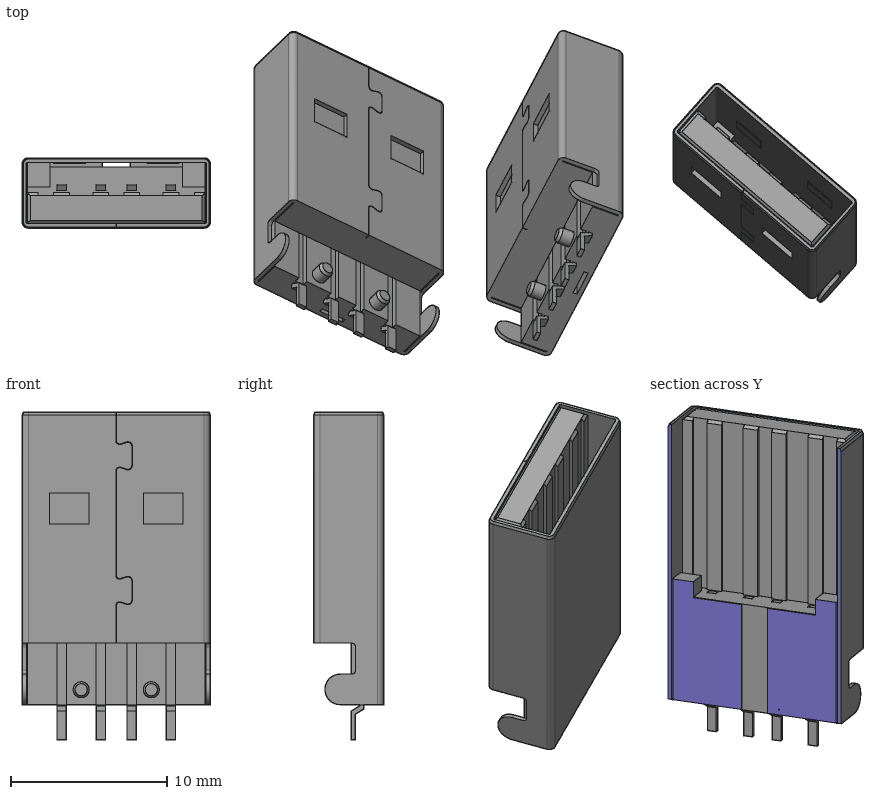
import cadquery as cq
import math

WIDTH = 12.05
DEPTH = 4.5
HEIGHT = 20.95
WALL = 0.31
SIDE_WALL = 0.27
CORNER_RADIUS = 0.4
RIM_CHAMFER_IN = 0.08
RIM_CHAMFER_DOWN = 0.19
SHELL_BASE_Z = 6.18
BODY_BASE_Z = 2.25

FRONT = -DEPTH / 2
BACK = DEPTH / 2
INNER_FRONT = FRONT + WALL
INNER_BACK = BACK - WALL
INNER_RADIUS = CORNER_RADIUS - WALL

LUG_HEIGHT = 1.97
LUG_RADIUS = LUG_HEIGHT / 2
LUG_TIP_Y = -1.53
NOTCH_BACK_Y = 0.45
NOTCH_RADIUS = 0.25

SEAM_GAP = 0.06
SEAM_X = -SEAM_GAP / 2
TAB_CENTRES_Z = (9.55, 18.16)
TAB_LENGTH = 1.03
TAB_HALF_NECK = 0.63
TAB_HALF_TIP = 0.96
TAB_RADIUS = 0.25

WINDOW_X = 3.0
WINDOW_Z = 14.8
WINDOW_WIDTH = 2.53
WINDOW_HEIGHT = 2.0
BUMP_WIDTH = 2.03
BUMP_RISE = 0.06

CLEARANCE = 0.06
BODY_HALF_WIDTH = WIDTH / 2 - SIDE_WALL - CLEARANCE
BLOCK_FRONT_Y = 0.15
FLOOR_Z = 9.43
FLOOR_CHAMFER_IN = 0.27
FLOOR_CHAMFER_DOWN = 0.55
CHANNEL_WIDTH = 1.75
SHOULDER_TOP_Z = 10.48
SHOULDER_INNER_X = 4.23
SHOULDER_FRONT_Y = 0.4
TONGUE_TOP_Z = 20.93
TONGUE_BACK_Y = 0.02
TONGUE_CHAMFER = 0.19
RIB_WIDTH = 1.0
END_RIB_INNER_X = 5.0

INNER_PIN_X = 0.98
OUTER_PIN_X = 3.5
PIN_POSITIONS_X = (-OUTER_PIN_X, -INNER_PIN_X, INNER_PIN_X, OUTER_PIN_X)
PIN_WIDTH = 0.6
PIN_THICKNESS = 0.27
PIN_ROOT_Y = 0.7
PIN_BEND_TOP_Z = 2.18
PIN_BEND_BASE_Z = 1.85
PIN_BEND_DROP = 0.2
PIN_EMBED = 1.05
PIN_GROOVE_BACK_Y = 0.52
PEG_X = 2.25
PEG_Z = 3.2
PEG_RADIUS = 0.513
PEG_TIP_Y = -0.84
PEG_CHAMFER_LENGTH = 0.2
PEG_CHAMFER_IN = 0.13


def box(x0, x1, y0, y1, z0, z1):
    """Box given by its limits along each axis."""
    return cq.Workplane("XY").box(x1 - x0, y1 - y0, z1 - z0, centered=False).translate((x0, y0, z0))


def centred_box(x, width, y0, y1, z0, z1):
    """Box of a given width centred on x."""
    return box(x - width / 2, x + width / 2, y0, y1, z0, z1)


def make_shell():
    outer = (
        cq.Workplane("XY", origin=(0, 0, BODY_BASE_Z))
        .rect(WIDTH, DEPTH)
        .extrude(HEIGHT - BODY_BASE_Z)
        .edges("|Z")
        .fillet(CORNER_RADIUS)
    )
    outer = outer.faces(">Z").chamfer(RIM_CHAMFER_DOWN, RIM_CHAMFER_IN)
    cavity = (
        cq.Workplane("XY", origin=(0, 0, BODY_BASE_Z))
        .rect(WIDTH - 2 * SIDE_WALL, DEPTH - 2 * WALL)
        .extrude(HEIGHT - BODY_BASE_Z)
        .edges("|Z")
        .fillet(INNER_RADIUS)
    )
    return outer.cut(cavity).cut(lug_cutout())


def lug_cutout():
    """Space below the front wall, traced round the rounded notch and the noses of the two lugs."""
    lug_top = BODY_BASE_Z + LUG_HEIGHT
    nose_y = LUG_TIP_Y + LUG_RADIUS
    root_y = NOTCH_BACK_Y - NOTCH_RADIUS
    diagonal = NOTCH_RADIUS * math.sqrt(0.5)
    return (
        cq.Workplane("YZ")
        .moveTo(FRONT, SHELL_BASE_Z)
        .lineTo(root_y, SHELL_BASE_Z)
        .threePointArc(
            (root_y + diagonal, SHELL_BASE_Z - NOTCH_RADIUS + diagonal),
            (NOTCH_BACK_Y, SHELL_BASE_Z - NOTCH_RADIUS),
        )
        .lineTo(NOTCH_BACK_Y, lug_top + NOTCH_RADIUS)
        .threePointArc((root_y + diagonal, lug_top + NOTCH_RADIUS - diagonal), (root_y, lug_top))
        .lineTo(nose_y, lug_top)
        .threePointArc((LUG_TIP_Y, lug_top - LUG_RADIUS), (nose_y, BODY_BASE_Z))
        .lineTo(FRONT, BODY_BASE_Z)
        .close()
        .extrude(WIDTH / 2, both=True)
    )


def seam_groove():
    """Gap around the left half of the front wall, whose dovetail tabs reach into the right half."""
    margin = TAB_LENGTH
    points = [(-margin, 0), (SEAM_X, 0)]
    for z in TAB_CENTRES_Z:
        points += [
            (SEAM_X, z - TAB_HALF_NECK),
            (SEAM_X + TAB_LENGTH, z - TAB_HALF_TIP),
            (SEAM_X + TAB_LENGTH, z + TAB_HALF_TIP),
            (SEAM_X, z + TAB_HALF_NECK),
        ]
    points += [(SEAM_X, HEIGHT + margin), (-margin, HEIGHT + margin)]

    def left_half(offset):
        region = cq.Workplane("XZ", origin=(0, INNER_FRONT, 0)).polyline(points).close()
        solid = region.extrude(WALL)
        tab_zone = cq.selectors.BoxSelector(
            (-SEAM_GAP, FRONT - WALL, SHELL_BASE_Z),
            (TAB_LENGTH + SEAM_GAP, BACK, HEIGHT),
        )
        solid = solid.edges("|Y").edges(tab_zone).fillet(TAB_RADIUS)
        outline = solid.faces("<Y").wires()
        return outline.toPending().offset2D(offset).extrude(-WALL)

    groove = left_half(SEAM_GAP / 2).cut(left_half(-SEAM_GAP / 2))
    return groove.intersect(box(-SEAM_GAP, WIDTH / 2, FRONT, INNER_FRONT, SHELL_BASE_Z, HEIGHT))


def latch_pair(width, y0, y1):
    """Pair of blocks at the latch positions: window cutters in front, bumps at the back."""
    z0 = WINDOW_Z - WINDOW_HEIGHT / 2
    z1 = WINDOW_Z + WINDOW_HEIGHT / 2
    left = centred_box(-WINDOW_X, width, y0, y1, z0, z1)
    return left.union(left.mirror("YZ"))


def make_block():
    """Rear insulator block with a sloped back edge, a vent channel and two raised shoulders."""
    block = (
        box(-BODY_HALF_WIDTH, BODY_HALF_WIDTH, BLOCK_FRONT_Y, INNER_BACK, BODY_BASE_Z, FLOOR_Z)
        .edges(">Y and >Z")
        .chamfer(FLOOR_CHAMFER_DOWN, FLOOR_CHAMFER_IN)
    )
    channel = centred_box(0, CHANNEL_WIDTH, INNER_BACK - FLOOR_CHAMFER_IN, INNER_BACK, BODY_BASE_Z, FLOOR_Z)
    shoulder = box(SHOULDER_INNER_X, BODY_HALF_WIDTH, SHOULDER_FRONT_Y, INNER_BACK,
                   BODY_BASE_Z, SHOULDER_TOP_Z)
    return block.cut(channel).union(shoulder).union(shoulder.mirror("YZ"))


def make_tongue():
    """Chamfered tongue along the front wall; its back face is stepped into ribs."""
    tongue = (
        box(-BODY_HALF_WIDTH, BODY_HALF_WIDTH, INNER_FRONT, TONGUE_BACK_Y, SHELL_BASE_Z, TONGUE_TOP_Z)
        .faces(">Z")
        .chamfer(TONGUE_CHAMFER)
    )
    relief_front = TONGUE_BACK_Y - TONGUE_CHAMFER
    relief = box(-END_RIB_INNER_X, END_RIB_INNER_X, relief_front, TONGUE_BACK_Y, FLOOR_Z, TONGUE_TOP_Z)
    for x in PIN_POSITIONS_X:
        relief = relief.cut(centred_box(x, RIB_WIDTH, relief_front, TONGUE_BACK_Y, FLOOR_Z, TONGUE_TOP_Z))
    bridge = box(-BODY_HALF_WIDTH, BODY_HALF_WIDTH, TONGUE_BACK_Y, BLOCK_FRONT_Y, SHELL_BASE_Z, FLOOR_Z)
    return tongue.cut(relief).union(bridge)


def pin_groove(x):
    return centred_box(x, PIN_WIDTH, BLOCK_FRONT_Y, PIN_GROOVE_BACK_Y, BODY_BASE_Z, FLOOR_Z)


def make_pin(x):
    """Pin that leaves the insulator, jogs forward and runs straight down to its tip."""
    root_back = PIN_ROOT_Y + PIN_THICKNESS
    tip_back = BLOCK_FRONT_Y + PIN_THICKNESS
    profile = [
        (PIN_ROOT_Y, BODY_BASE_Z + PIN_EMBED),
        (PIN_ROOT_Y, PIN_BEND_TOP_Z),
        (BLOCK_FRONT_Y, PIN_BEND_BASE_Z),
        (BLOCK_FRONT_Y, 0),
        (tip_back, 0),
        (tip_back, PIN_BEND_BASE_Z - PIN_BEND_DROP),
        (root_back, PIN_BEND_TOP_Z - PIN_BEND_DROP),
        (root_back, BODY_BASE_Z + PIN_EMBED),
    ]
    return cq.Workplane("YZ", origin=(x, 0, 0)).polyline(profile).close().extrude(PIN_WIDTH / 2, both=True)


def make_peg(x):
    return (
        cq.Workplane("XZ", origin=(x, BLOCK_FRONT_Y, PEG_Z))
        .circle(PEG_RADIUS)
        .extrude(BLOCK_FRONT_Y - PEG_TIP_Y)
        .faces("<Y")
        .chamfer(PEG_CHAMFER_LENGTH, PEG_CHAMFER_IN)
    )


windows = latch_pair(WINDOW_WIDTH, FRONT, INNER_FRONT)
back_wall_bumps = latch_pair(BUMP_WIDTH, INNER_BACK - BUMP_RISE, INNER_BACK)
shell = make_shell().cut(seam_groove()).cut(windows).union(back_wall_bumps)

insulator = make_block().union(make_tongue())
for pin_x in PIN_POSITIONS_X:
    insulator = insulator.cut(pin_groove(pin_x)).union(make_pin(pin_x))
for peg_x in (-PEG_X, PEG_X):
    insulator = insulator.union(make_peg(peg_x))

result = shell.union(insulator)